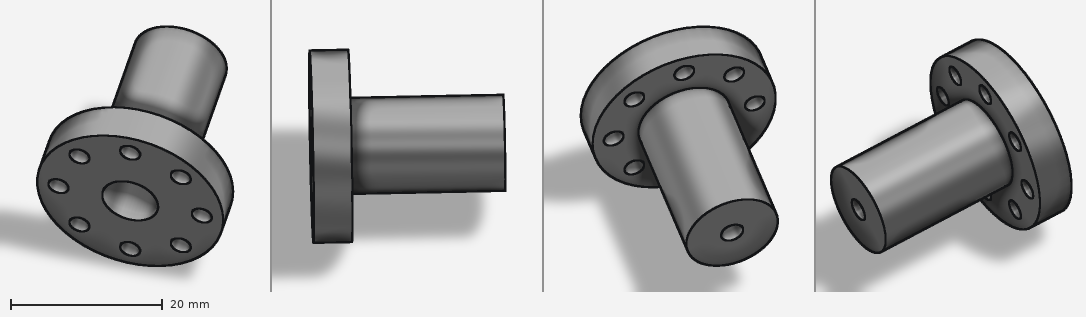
import cadquery as cq

flange_diameter = 25.4
flange_thickness = 5.08
overall_length = 25.4
barrel_diameter = flange_diameter / 2

wide_bore_diameter = 7.62
narrow_bore_diameter = 3.05
end_wall_thickness = flange_thickness
wide_bore_depth = overall_length - end_wall_thickness

hole_count = 8
hole_diameter = 2.72
hole_circle_diameter = 19.55


def front_plane():
    """Plane on the flange face, with its normal pointing into the part (+Y)."""
    return cq.Plane(origin=(0, 0, 0), xDir=(1, 0, 0), normal=(0, 1, 0))


def cylinder(diameter, length):
    """Cylinder on the part's axis, starting at the flange face."""
    return cq.Workplane(front_plane()).circle(diameter / 2).extrude(length)


def flange_holes():
    """Evenly spaced through holes, the first one on the X axis."""
    return (
        cq.Workplane(front_plane())
        .polarArray(hole_circle_diameter / 2, 0, 360, hole_count)
        .circle(hole_diameter / 2)
        .extrude(flange_thickness)
    )


body = cylinder(flange_diameter, flange_thickness).union(cylinder(barrel_diameter, overall_length))
bored_body = body.cut(cylinder(wide_bore_diameter, wide_bore_depth)).cut(
    cylinder(narrow_bore_diameter, overall_length)
)
result = bored_body.cut(flange_holes())